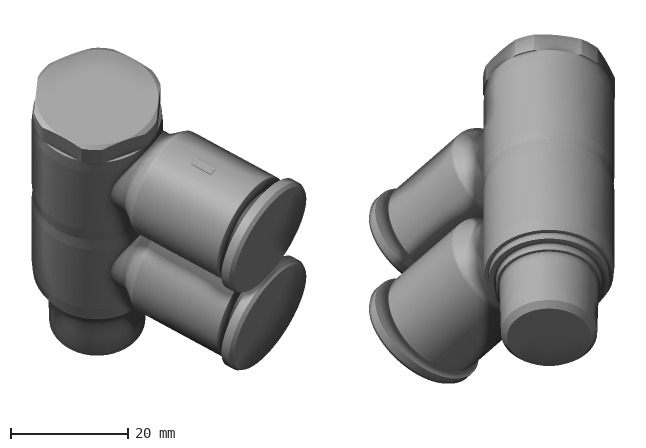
import cadquery as cq
import math

total_height = 60.8
body_radius = 11.2
joint_radius = 11.0
module_pitch = 21.0
module_top = 56.7
draft_band = 2.55
module_count = 2
module_levels = [module_top - i * module_pitch for i in range(module_count)]

flange_radius = 10.3
flange_bottom = 13.45
shoulder_radius = 9.05
shoulder_bottom = 12.05
thread_top_radius = 8.5
thread_tip_radius = 8.2
thread_chamfer = 1.05

hex_sides = 6
hex_across_flats = 21.0
hex_corner_radius = 11.25
hex_top_radius = 10.4
hex_chamfer_height = 0.4

arm_drop = 9.0
neck_radius = 7.65
cone_start = 11.05
cone_end = 14.0
cone_blend = 1.0
barrel_radius = 9.85
barrel_end = 31.85
barrel_edge = 0.2
sleeve_radius = 7.1

collar_start = 33.6
collar_end = 35.9
collar_half_width = 11.25
collar_half_height = 9.7
collar_chamfer_width = 0.4
collar_chamfer_depth = 0.65

pad_start = 20.0
pad_length = 4.1
pad_width = 1.45
pad_rise = 0.1


def make_body(top):
    """Round body with a slightly drafted band at each end."""
    bottom = top - module_pitch
    points = [
        (0, bottom),
        (joint_radius, bottom),
        (body_radius, bottom + draft_band),
        (body_radius, top - draft_band),
        (joint_radius, top),
        (0, top),
    ]
    return cq.Workplane("XZ").polyline(points).close().revolve(360, (0, 0), (0, 1))


def make_thread_end():
    """Flange, shoulder and tapered thread with a chamfered tip."""
    bodies_bottom = module_top - module_count * module_pitch
    points = [
        (0, 0),
        (thread_tip_radius - thread_chamfer, 0),
        (thread_tip_radius, thread_chamfer),
        (thread_top_radius, shoulder_bottom),
        (shoulder_radius, shoulder_bottom),
        (shoulder_radius, flange_bottom),
        (flange_radius, flange_bottom),
        (flange_radius, bodies_bottom),
        (0, bodies_bottom),
    ]
    return cq.Workplane("XZ").polyline(points).close().revolve(360, (0, 0), (0, 1))


def make_hex_head():
    """Hexagon with two flats facing Y, cut to a round envelope chamfered at the top."""
    across_corners = hex_across_flats / math.cos(math.pi / hex_sides)
    hexagon = (
        cq.Workplane("XY", origin=(0, 0, module_top))
        .polygon(hex_sides, across_corners)
        .extrude(total_height - module_top)
    )
    envelope_points = [
        (0, module_top),
        (hex_corner_radius, module_top),
        (hex_corner_radius, total_height - hex_chamfer_height),
        (hex_top_radius, total_height),
        (0, total_height),
    ]
    envelope = cq.Workplane("XZ").polyline(envelope_points).close().revolve(360, (0, 0), (0, 1))
    return hexagon.intersect(envelope)


def make_collar():
    """Elliptical collar centred on the X axis, with its outer rim chamfered."""
    return (
        cq.Workplane("YZ", origin=(collar_start, 0, 0))
        .ellipse(collar_half_width, collar_half_height)
        .extrude(collar_end - collar_start)
        .faces(">X")
        .chamfer(collar_chamfer_depth, collar_chamfer_width)
    )


def make_arm():
    """Neck, cone and barrel turned about the X axis, plus sleeve, collar and pad."""
    barrel_points = [
        (0, 0),
        (0, neck_radius),
        (cone_start, neck_radius),
        (cone_end, barrel_radius),
        (barrel_end, barrel_radius),
        (barrel_end, 0),
    ]
    barrel = cq.Workplane("XY").polyline(barrel_points).close().revolve(360, (0, 0), (1, 0))
    reach = barrel_radius + cone_blend
    cone_zone = cq.selectors.BoxSelector(
        (cone_start - cone_blend, -reach, -reach),
        (cone_end + cone_blend, reach, reach),
        boundingbox=True,
    )
    barrel = barrel.edges(cone_zone).edges("%CIRCLE").fillet(cone_blend)
    barrel = barrel.faces(">X").edges().fillet(barrel_edge)
    sleeve = (
        cq.Workplane("YZ", origin=(barrel_end, 0, 0))
        .circle(sleeve_radius)
        .extrude(collar_start - barrel_end)
    )
    pad = (
        cq.Workplane("XY", origin=(pad_start, 0, 0))
        .box(pad_length, pad_width, barrel_radius + pad_rise, centered=(False, True, False))
    )
    return barrel.union(pad).union(sleeve).union(make_collar())


result = make_thread_end().union(make_hex_head())
arm = make_arm()
for level in module_levels:
    result = result.union(make_body(level))
    result = result.union(arm.translate((0, 0, level - arm_drop)))